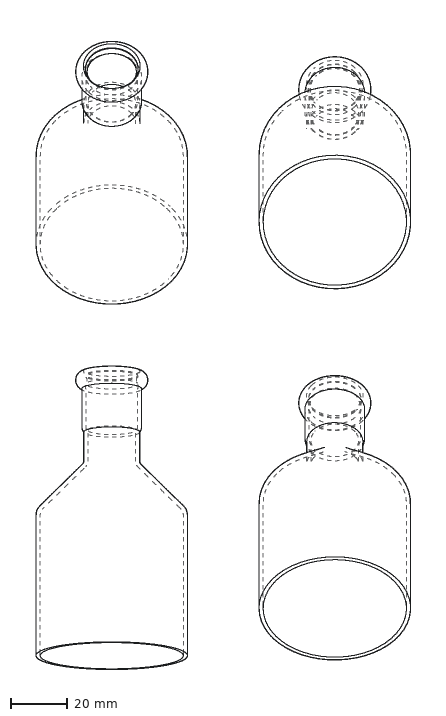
import cadquery as cq
import math


total_height = 103.0
body_radius = 54.0 / 2
spigot_radius = 20.0 / 2
socket_radius = 21.3 / 2
bead_radius = 25.8 / 2
wall = 1.49

cone_corner_z = 69.6
body_corner_z = 52.4
shoulder_bend = 3.6
neck_bend = 1.8
cone_angle = math.atan2(cone_corner_z - body_corner_z, body_radius - spigot_radius)

step_top_z = 82.8
step_bend = 2.9

bead_section_radius = 3.3
bead_center_r = bead_radius - bead_section_radius
mouth_radius = 20.2 / 2
mouth_rise = math.sqrt(bead_section_radius**2 - (mouth_radius - bead_center_r) ** 2)
bead_center_z = total_height - mouth_rise
throat_radius = 18.7 / 2
seal_inner_radius = 8.8
seal_half_height = 1.4
socket_seat_z = 96.4
socket_seat_height = 0.8
lip_depth = 1.4


def circle_point(center_r, center_z, radius, angle):
    return (center_r + radius * math.cos(angle), center_z + radius * math.sin(angle))


def bend_center(corner_r, corner_z, radius, side):
    """Center of a bend on the vertical wall; side is -1 toward the axis, +1 away from it."""
    tangent_length = radius * math.tan((math.pi / 2 - cone_angle) / 2)
    return corner_r + side * radius, corner_z + side * tangent_length


def add_bends(profile, inset):
    """Draw body, cone, neck and step from the bottom up, inset inward from the outer skin."""
    slope_direction = math.pi / 2 - cone_angle
    shoulder = bend_center(body_radius, body_corner_z, shoulder_bend, -1)
    neck = bend_center(spigot_radius, cone_corner_z, neck_bend, 1)
    shoulder_size = shoulder_bend - inset
    neck_size = neck_bend + inset
    step_size = step_bend - inset
    step_center_r = socket_radius - step_bend
    step_angle = -math.acos((spigot_radius - inset - step_center_r) / step_size)
    return (
        profile.moveTo(body_radius - inset, 0)
        .lineTo(*circle_point(*shoulder, shoulder_size, 0))
        .threePointArc(
            circle_point(*shoulder, shoulder_size, slope_direction / 2),
            circle_point(*shoulder, shoulder_size, slope_direction),
        )
        .lineTo(*circle_point(*neck, neck_size, math.pi + slope_direction))
        .threePointArc(
            circle_point(*neck, neck_size, math.pi + slope_direction / 2),
            circle_point(*neck, neck_size, math.pi),
        )
        .lineTo(*circle_point(step_center_r, step_top_z, step_size, step_angle))
        .threePointArc(
            circle_point(step_center_r, step_top_z, step_size, step_angle / 2),
            (socket_radius - inset, step_top_z),
        )
    )


def make_outside():
    bead_foot_z = bead_center_z - math.sqrt(
        bead_section_radius**2 - (socket_radius - bead_center_r) ** 2
    )
    return (
        add_bends(cq.Workplane("XZ"), 0)
        .lineTo(socket_radius, bead_foot_z)
        .threePointArc((bead_radius, bead_center_z), (mouth_radius, total_height))
        .lineTo(0, total_height)
        .lineTo(0, 0)
        .close()
        .revolve(360, (0, 0), (0, 1))
    )


def make_cavity():
    return (
        add_bends(cq.Workplane("XZ"), wall)
        .lineTo(socket_radius - wall, socket_seat_z)
        .lineTo(throat_radius, socket_seat_z + socket_seat_height)
        .lineTo(throat_radius, bead_center_z - seal_half_height)
        .threePointArc(
            (seal_inner_radius, bead_center_z),
            (throat_radius, bead_center_z + seal_half_height),
        )
        .lineTo(throat_radius, total_height - lip_depth)
        .lineTo(mouth_radius, total_height)
        .lineTo(0, total_height)
        .lineTo(0, 0)
        .close()
        .revolve(360, (0, 0), (0, 1))
    )


result = make_outside().cut(make_cavity())